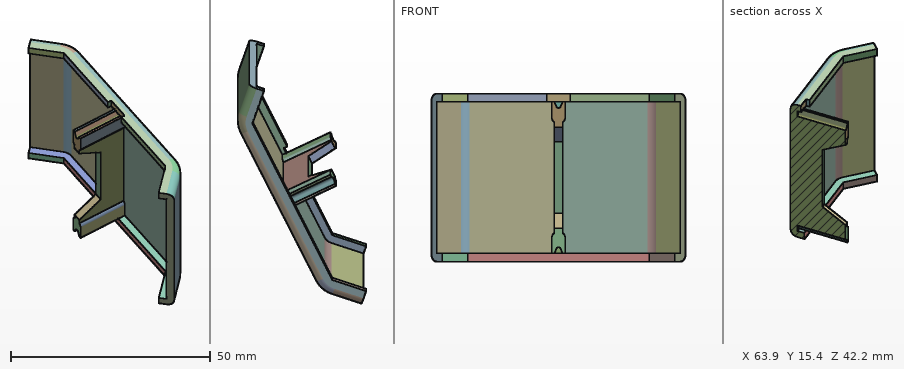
import cadquery as cq
import math

width = 63.85
depth = 15.4
height = 42.2

wing_angle = 45.0
wing_drop = 7.55
outer_bend_radius = 7.0
inner_bend_radius = 3.0
plate_thickness = 2.0
rim_thickness = 3.95
rim_width = 2.1
edge_radius = 2.0

notch_width = 6.0
notch_floor = 3.0

web_thickness = 2.2
web_front = 8.95
lug_width = 3.3
lug_straight = 4.1
lug_shoulder_length = 0.95
lug_shoulder_bulge = 0.1
lug_length = 6.3
lug_slope_length = 3.7

groove_width = 2.05
groove_depth = 1.55
groove_radius = 0.6

match_tolerance = 0.005

half_height = height / 2
rim_inner_z = half_height - rim_width
half_wing_angle = math.radians(wing_angle / 2)
fold_x = width / 2 - wing_drop / math.tan(math.radians(wing_angle))


def layer_outline(offset):
    """Right-hand fold and wing-tip points at a distance inside the outer face."""
    angle = math.radians(wing_angle)
    fold = (fold_x - offset * math.tan(half_wing_angle), -offset)
    tip = (width / 2 - offset * math.sin(angle), -wing_drop - offset * math.cos(angle))
    return fold, tip


def bent_layer(outer, inner, length):
    """Sharp-cornered bent sheet between two offsets, centred on Z."""
    outer_fold, outer_tip = layer_outline(outer)
    inner_fold, inner_tip = layer_outline(inner)
    right = [outer_fold, outer_tip, inner_tip, inner_fold]
    left = [(-x, y) for x, y in reversed(right)]
    return cq.Workplane("XY").polyline(right + left).close().extrude(length / 2, both=True)


def vertical_edges_at(body, point):
    """The two mirrored vertical edges through a point on the right half."""
    x, y = point
    tol = match_tolerance
    boxes = [
        cq.selectors.BoxSelector((s * x - tol, y - tol, -height), (s * x + tol, y + tol, height))
        for s in (-1, 1)
    ]
    return body.edges("|Z").edges(boxes[0] + boxes[1])


def make_cover():
    body = bent_layer(0, rim_thickness, height)
    body = vertical_edges_at(body, layer_outline(0)[0]).fillet(outer_bend_radius)
    back_edges = body.faces(">Y").edges(">Z or <Z")
    body = back_edges.fillet(edge_radius)

    recess = bent_layer(plate_thickness, rim_thickness, 2 * rim_inner_z)
    floor_fold = layer_outline(plate_thickness)[0]
    recess = vertical_edges_at(recess, floor_fold).fillet(inner_bend_radius)
    return body.cut(recess)


def make_notch():
    notch_depth = rim_thickness - notch_floor
    notch = cq.Workplane("XY").box(notch_width, notch_depth, rim_width, centered=(True, False, False))
    return notch.translate((0, -rim_thickness, rim_inner_z))


def make_lug_section():
    """Upper lug and its share of the web, extruded forward from the floor."""
    half_lug = lug_width / 2
    half_web = web_thickness / 2
    arc_z = rim_inner_z - lug_straight
    end_z = arc_z - lug_shoulder_length
    step = half_lug - half_web
    chord = math.hypot(step, lug_shoulder_length)
    mid_x = (half_lug + half_web) / 2 + lug_shoulder_bulge * lug_shoulder_length / chord
    mid_z = (arc_z + end_z) / 2 - lug_shoulder_bulge * step / chord
    groove_z = rim_inner_z - groove_depth

    center_z = groove_z + groove_radius
    mouth_x = groove_width / 2
    mouth_rise = rim_inner_z - center_z
    tangent_angle = math.atan2(mouth_rise, mouth_x) - math.acos(
        groove_radius / math.hypot(mouth_x, mouth_rise)
    )
    touch_x = groove_radius * math.cos(tangent_angle)
    touch_z = center_z + groove_radius * math.sin(tangent_angle)

    return (
        cq.Workplane("XZ", origin=(0, -plate_thickness, 0))
        .moveTo(half_web, 0)
        .lineTo(half_web, end_z)
        .threePointArc((mid_x, mid_z), (half_lug, arc_z))
        .lineTo(half_lug, rim_inner_z)
        .lineTo(mouth_x, rim_inner_z)
        .lineTo(touch_x, touch_z)
        .threePointArc((0, groove_z), (-touch_x, touch_z))
        .lineTo(-mouth_x, rim_inner_z)
        .lineTo(-half_lug, rim_inner_z)
        .lineTo(-half_lug, arc_z)
        .threePointArc((-mid_x, mid_z), (-half_web, end_z))
        .lineTo(-half_web, 0)
        .close()
        .extrude(depth - plate_thickness)
    )


def make_web():
    upper = make_lug_section()
    web = upper.union(upper.mirror("XY"))
    tip_z = rim_inner_z - lug_length
    root_z = tip_z - lug_slope_length
    gap = (
        cq.Workplane("YZ")
        .polyline([(-depth, -tip_z), (-depth, tip_z), (-web_front, root_z), (-web_front, -root_z)])
        .close()
        .extrude(lug_width, both=True)
    )
    return web.cut(gap)


result = make_cover().cut(make_notch()).union(make_web())